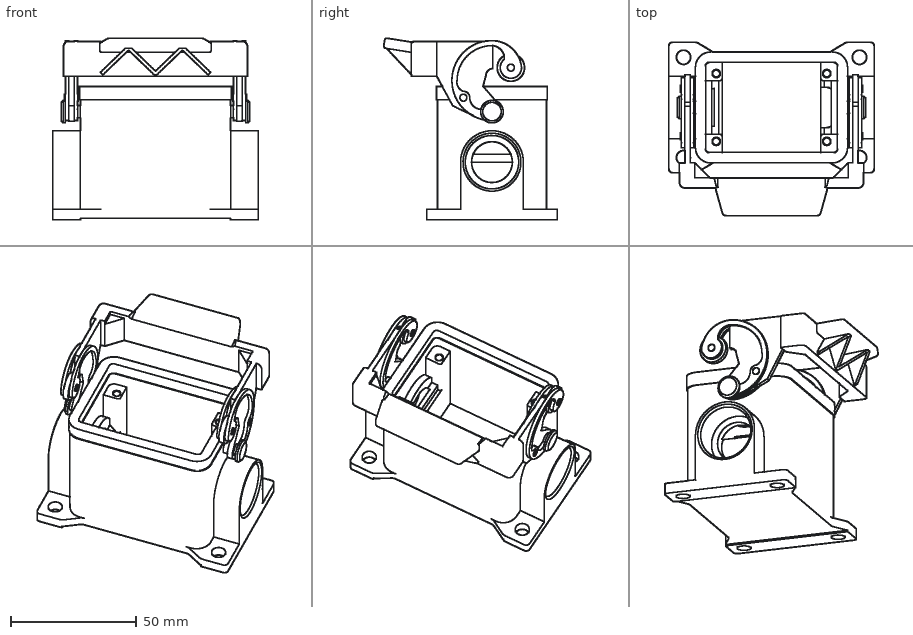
import cadquery as cq
import math

length = 82.0
flange_width = 52.15
flange_top = 4.3
foot_step = 0.6
foot_inner_x = 29.85
foot_corner_radius = 1.6
foot_blend_radius = 3.3
gusset_end_x = 22.8
mount_hole_x, mount_hole_y, mount_hole_radius = 35.1, 20.0, 2.8

body_length, body_width = 60.0, 43.6
body_corner_radius = 6.15
rim_lip = 0.3
rim_bottom, rim_top = 47.8, 53.2

cavity_length, cavity_width = 52.65, 35.9
cavity_mouth_radius = 1.6
cavity_corner_radius = 2.5
cavity_undercut = 0.3
cavity_floor = 4.3

hub_z = 23.0
hub_radius = 12.55
hub_bore_radius = 10.7
hub_bore_chamfer = 0.9
hub_bore_depth = 13.4
entry_radius = 8.1
wall_boss_inner_x = 23.9

end_block_inner_x = 19.7
end_block_top = 26.15
shelf_outer_x = 21.1
shelf_top = 23.0
knockout_outer_x = 22.9

pillar_inner_y = 10.75
pillar_top = 41.8
pillar_edge_radius = 0.8
screw_x, screw_y = 22.05, 13.5
screw_radius, screw_mouth_radius = 1.4, 1.6
screw_depth = 12.3
screw_tip_angle = 120.0

plate_inner_x, plate_outer_x = 32.4, 34.5
hook_inner_x, hook_outer_x = 31.1, 36.0
rivet_inner_x, rivet_outer_x = 30.75, 36.3
rivet_radius = 1.4

pivot_y, pivot_z = 0.0, 43.1
pivot_pin_radius = 2.5
pivot_pin_embed = 0.8
pivot_eye_radius = 3.9
pivot_head_radius = 4.5
pivot_head_chamfer = 0.8
pivot_head_x = 37.6

roller_y, roller_z, roller_radius = 7.55, 60.7, 5.5
hook_eye_radius = 4.3
hook_center_z = 55.5
hook_outer_radius, hook_inner_radius = 16.0, 13.9
throat_radius = 4.6
rear_rivet_y, rear_rivet_z = -11.4, 48.7
rear_lobe_radius = 2.55
rear_fillet_radius = 4.7

bar_half_length = 36.7
bar_back_y, bar_front_y = -28.05, -32.15
bar_bottom, bar_top = 57.2, 71.2
leg_end_y, leg_inner_x = -22.05, 30.6
brace_inner_x = 24.6
brace_drop = 1.6
bar_side_fillet = 2.1
bar_front_fillet = 1.15

handle_slope = 9.0
handle_root_z = 70.3
handle_thickness = 4.1
handle_reach = 14.85
handle_root_half, handle_tip_half = 22.3, 19.35
handle_tip_radius = 1.6
handle_top_fillet, handle_bottom_fillet = 1.0, 1.0
relief_floor_half, relief_mouth_half = 21.5, 23.3
relief_height = 1.15

rib_pitch = 10.75
rib_bottom, rib_top = 58.3, 68.6
rib_thickness = 1.4
rib_tip_y = -42.3


def block(x0, x1, y0, y1, z0, z1):
    return cq.Workplane("XY").box(x1 - x0, y1 - y0, z1 - z0, centered=False).translate((x0, y0, z0))


def rod(y, z, radius, x0, x1):
    """Cylinder along X from x0 to x1."""
    return cq.Workplane("YZ", origin=(x0, 0, 0)).center(y, z).circle(radius).extrude(x1 - x0)


def rounded_box(size_x, size_y, radius, z0, z1):
    solid = cq.Workplane("XY", origin=(0, 0, z0)).rect(size_x, size_y).extrude(z1 - z0)
    return solid.edges("|Z").fillet(radius)


def both_sides(shape):
    return shape.union(shape.mirror("YZ"))


def on_circle(y, z, radius, degrees):
    angle = math.radians(degrees)
    return (y + radius * math.cos(angle), z + radius * math.sin(angle))


def make_flange():
    half_x, half_y = length / 2, flange_width / 2
    quarter = [(gusset_end_x, body_width / 2), (foot_inner_x, half_y), (half_x, half_y)]
    right = quarter + [(x, -y) for x, y in reversed(quarter)]
    left = [(-x, -y) for x, y in right]
    flange = cq.Workplane("XY").polyline(right + left).close().extrude(flange_top)
    margin = 0.8
    for sign in (-1, 1):
        end = sign * half_x
        corners = cq.selectors.BoxSelector(
            (end - margin, -half_y - margin, -margin), (end + margin, half_y + margin, flange_top + margin))
        flange = flange.edges("|Z").edges(corners).fillet(foot_corner_radius)
        gusset_xs = sorted((sign * gusset_end_x, sign * foot_inner_x))
        blends = cq.selectors.BoxSelector(
            (gusset_xs[0] - margin, -half_y - margin, -margin),
            (gusset_xs[1] + margin, half_y + margin, flange_top + margin))
        flange = flange.edges("|Z").edges(blends).fillet(foot_blend_radius)
    flange = flange.cut(block(-foot_inner_x, foot_inner_x, -half_y, half_y, 0, foot_step))
    holes = (cq.Workplane("XY").rect(2 * mount_hole_x, 2 * mount_hole_y, forConstruction=True).vertices()
             .circle(mount_hole_radius).extrude(flange_top))
    return flange.cut(holes)


def make_shell():
    shell = rounded_box(body_length, body_width, body_corner_radius, foot_step, rim_top)
    rim = rounded_box(body_length + 2 * rim_lip, body_width + 2 * rim_lip,
                      body_corner_radius, rim_bottom, rim_top)
    cavity = rounded_box(cavity_length + 2 * cavity_undercut, cavity_width + 2 * cavity_undercut,
                         cavity_corner_radius, cavity_floor, rim_bottom)
    mouth = rounded_box(cavity_length, cavity_width, cavity_mouth_radius, rim_bottom, rim_top)
    return shell.union(rim).cut(cavity).cut(mouth)


def make_hubs():
    inner_x, outer_x = cavity_length / 2, length / 2
    hub = rod(0, hub_z, hub_radius, inner_x, outer_x)
    hub = hub.union(block(inner_x, outer_x, -hub_radius, hub_radius, foot_step, hub_z))
    return both_sides(hub)


def make_end_block(outline):
    """Block across one end of the cavity, extruded from its X, Z outline."""
    wall_x = body_length / 2
    base = [(wall_x, end_block_top), (wall_x, cavity_floor), (end_block_inner_x, cavity_floor),
            (end_block_inner_x, shelf_top), (shelf_outer_x, shelf_top)]
    return (cq.Workplane("XZ").polyline(base + outline).close()
            .extrude(body_width / 2, both=True))


def make_wall_boss():
    wall_x = body_length / 2
    return rod(0, hub_z, hub_radius, wall_boss_inner_x, wall_x)


def make_pillar():
    pillar = block(end_block_inner_x, body_length / 2, pillar_inner_y, body_width / 2,
                   cavity_floor, pillar_top)
    pillar = pillar.edges("|Z and <X and <Y").fillet(pillar_edge_radius)
    cone_height = screw_radius / math.tan(math.radians(screw_tip_angle / 2))
    floor = pillar_top - screw_depth
    mouth = pillar_top - (screw_mouth_radius - screw_radius)
    hole = (cq.Workplane("XZ")
            .polyline([(0, floor - cone_height), (screw_radius, floor), (screw_radius, mouth),
                       (screw_mouth_radius, pillar_top), (0, pillar_top)])
            .close().revolve(360, (0, 0, 0), (0, 1, 0)).translate((screw_x, screw_y, 0)))
    return pillar.cut(hole)


def make_entry(inner_x):
    """Cutter for the cable entry on the +X side."""
    end_x = length / 2
    entry = rod(0, hub_z, entry_radius, inner_x, end_x)
    bore = rod(0, hub_z, hub_bore_radius, end_x - hub_bore_depth, end_x)
    mouth = cq.Solid.makeCone(hub_bore_radius + hub_bore_chamfer, hub_bore_radius, hub_bore_chamfer,
                              cq.Vector(end_x, 0, hub_z), cq.Vector(-1, 0, 0))
    return entry.union(bore).union(cq.Workplane(mouth))


def make_housing():
    stepped = make_end_block([(shelf_outer_x, end_block_top)])
    sloped = make_end_block([(wall_boss_inner_x, end_block_top)])
    pillars = both_sides(make_pillar())
    core = sloped.union(stepped.mirror("YZ")).union(both_sides(make_wall_boss()))
    core = core.union(pillars).union(pillars.mirror("XZ"))
    core = core.intersect(rounded_box(body_length, body_width, body_corner_radius, foot_step, rim_top))
    housing = make_flange().union(make_shell()).union(make_hubs()).union(core)
    housing = housing.cut(make_entry(end_block_inner_x))
    return housing.cut(make_entry(knockout_outer_x).mirror("YZ"))


def make_arm_plate():
    """Flat arm running from the bar down to the pivot."""
    notch_radius = 2.8
    notch_y, notch_z = 0.4, 57.5
    throat = (-3.5, 53.2)
    throat_tangent = 41
    heel = (-15.7, 45.5)
    sole = (-9.75, 42.6)
    leg_embed = 0.8
    embed_y = leg_end_y - leg_embed
    return (cq.Workplane("YZ", origin=(plate_inner_x, 0, 0))
            .moveTo(notch_y, bar_top)
            .lineTo(embed_y, bar_top)
            .lineTo(embed_y, bar_bottom)
            .lineTo(leg_end_y, bar_bottom)
            .lineTo(*heel)
            .threePointArc(sole, (pivot_y, pivot_z - pivot_eye_radius))
            .threePointArc((pivot_y + pivot_eye_radius, pivot_z),
                           on_circle(pivot_y, pivot_z, pivot_eye_radius, throat_tangent))
            .lineTo(*throat)
            .lineTo(notch_y - notch_radius, notch_z)
            .threePointArc(on_circle(notch_y, notch_z, notch_radius, 135), (notch_y, notch_z + notch_radius))
            .close()
            .extrude(plate_outer_x - plate_inner_x))


def make_cheek(inner_x, outer_x):
    """Curved hook plate lying against one face of the arm plate."""
    lobe_blend = (-13.4, 52.7)
    bottom = (0, hook_center_z - hook_outer_radius)
    crown = (0, hook_center_z + hook_outer_radius)
    eye_side = (roller_y + hook_eye_radius, roller_z)
    crown_radius = eye_side[0]
    eye_bottom, eye_end = -120, 127
    throat_z = hook_center_z + hook_inner_radius - throat_radius
    lobe_side = (rear_rivet_y + rear_lobe_radius, rear_rivet_z)
    fillet_y, fillet_z = lobe_side[0] + rear_fillet_radius, rear_rivet_z
    return (cq.Workplane("YZ", origin=(inner_x, 0, 0))
            .moveTo(*bottom)
            .threePointArc((-hook_outer_radius, hook_center_z), crown)
            .threePointArc(on_circle(0, crown[1] - crown_radius, crown_radius, 45), eye_side)
            .threePointArc(on_circle(roller_y, roller_z, hook_eye_radius, eye_bottom),
                           on_circle(roller_y, roller_z, hook_eye_radius, eye_end))
            .threePointArc(on_circle(0, throat_z, throat_radius, 45), (0, hook_center_z + hook_inner_radius))
            .threePointArc(on_circle(0, hook_center_z, hook_inner_radius, 135),
                           (-hook_inner_radius, hook_center_z))
            .threePointArc(lobe_blend, (rear_rivet_y, rear_rivet_z + rear_lobe_radius))
            .threePointArc(on_circle(rear_rivet_y, rear_rivet_z, rear_lobe_radius, 45), lobe_side)
            .threePointArc(on_circle(fillet_y, fillet_z, rear_fillet_radius, 225),
                           (fillet_y, fillet_z - rear_fillet_radius))
            .lineTo(pivot_y, fillet_z - rear_fillet_radius)
            .close()
            .extrude(outer_x - inner_x))


def make_arm():
    arm = make_arm_plate()
    arm = arm.union(make_cheek(hook_inner_x, plate_inner_x))
    arm = arm.union(make_cheek(plate_outer_x, hook_outer_x))
    arm = arm.union(rod(roller_y, roller_z, roller_radius, plate_inner_x, plate_outer_x))
    for y, z in ((roller_y, roller_z), (rear_rivet_y, rear_rivet_z)):
        arm = arm.union(rod(y, z, rivet_radius, rivet_inner_x, rivet_outer_x))
    arm = arm.union(rod(pivot_y, pivot_z, pivot_pin_radius, body_length / 2 - pivot_pin_embed, hook_outer_x))
    head = rod(pivot_y, pivot_z, pivot_head_radius, hook_outer_x, pivot_head_x)
    return arm.union(head.faces(">X").chamfer(pivot_head_chamfer))


def make_bar():
    """Cross bar with a leg and a corner brace at each end; its top is pared down to the handle slope."""
    bar = block(-bar_half_length, bar_half_length, bar_front_y, leg_end_y, bar_bottom, bar_top)
    bar = bar.edges("(|Z and <Y) or (|Y and >Z)").fillet(bar_side_fillet)
    bar = bar.edges(">Z and <Y").fillet(bar_front_fillet)
    bar = bar.cut(block(-leg_inner_x, leg_inner_x, bar_back_y, leg_end_y, bar_bottom, bar_top))
    brace = (cq.Workplane("XY", origin=(0, 0, bar_bottom))
             .polyline([(leg_inner_x, leg_end_y), (leg_inner_x, bar_back_y), (brace_inner_x, bar_back_y)])
             .close().extrude(bar_top - brace_drop - bar_bottom))
    return bar.union(both_sides(brace))


def tilt(shape):
    """Lay a shape modelled with a level handle top onto the handle slope."""
    return shape.rotate((0, 0, 0), (1, 0, 0), -handle_slope).translate((0, bar_back_y, handle_root_z))


def make_handle():
    straight = (bar_back_y - bar_front_y) / math.cos(math.radians(handle_slope))
    outline = [(handle_root_half, 0), (handle_root_half, -straight), (handle_tip_half, -handle_reach)]
    outline += [(-x, y) for x, y in reversed(outline)]
    handle = cq.Workplane("XY").polyline(outline).close().extrude(-handle_thickness)
    handle = handle.edges("|Z and <Y").fillet(handle_tip_radius)
    handle = handle.faces(">Z").edges("not >Y").fillet(handle_top_fillet)
    handle = handle.faces("<Z").edges("not >Y").fillet(handle_bottom_fillet)
    return tilt(handle)


def make_bar_relief():
    outline = [(relief_floor_half, 0), (relief_mouth_half, relief_height)]
    outline += [(-x, z) for x, z in reversed(outline)]
    return tilt(cq.Workplane("XZ").polyline(outline).close().extrude(handle_reach, both=True))


def make_zigzag_ribs():
    """W-shaped web under the handle, tapering back to the bar front at its lower end."""
    rise = rib_thickness / math.sqrt(2)
    square = rise / 2
    inner = [(-rib_pitch, rib_top), (0, rib_bottom), (rib_pitch, rib_top)]
    end_x = 2 * rib_pitch
    upper = [(-end_x - square, rib_bottom + square)] + [(x, z + rise) for x, z in inner]
    lower = [(-end_x + square, rib_bottom - square)] + [(x, z - rise) for x, z in inner]
    upper.append((end_x + square, rib_bottom + square))
    lower.append((end_x - square, rib_bottom - square))
    outline = upper + lower[::-1]
    web = (cq.Workplane("XZ", origin=(0, bar_front_y, 0))
           .polyline(outline).close().extrude(bar_front_y - rib_tip_y))
    taper = (cq.Workplane("YZ", origin=(-bar_half_length, 0, 0))
             .polyline([(bar_front_y, rib_bottom - square), (rib_tip_y, rib_top), (bar_front_y, rib_top)])
             .close().extrude(2 * bar_half_length))
    return web.intersect(taper)


def make_lever():
    lever = make_bar().cut(make_bar_relief()).union(make_handle()).union(make_zigzag_ribs())
    return lever.union(both_sides(make_arm()))


result = make_housing().union(make_lever())